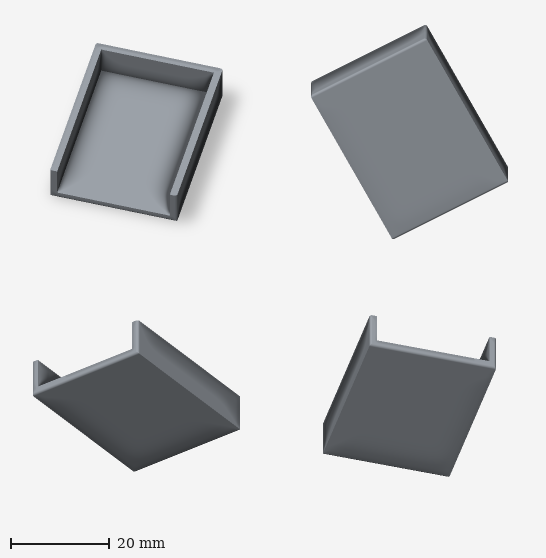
import cadquery as cq

width = 26.65
length = 35.5
height = 8.0

wall = 1.5
floor = 1.5
edge_radius = 0.5


def plain_block():
    return cq.Workplane("XY").box(width, length, height, centered=(True, True, False))


upright_rounded = plain_block().edges("|Z").fillet(edge_radius)
bottom_rounded = plain_block().faces("<Z").edges("|X").fillet(edge_radius)
body = upright_rounded.intersect(bottom_rounded)

pocket = (
    cq.Workplane("XY")
    .box(width - 2 * wall, length - wall, height - floor, centered=(True, False, False))
    .translate((0, -length / 2, floor))
)

result = body.cut(pocket)